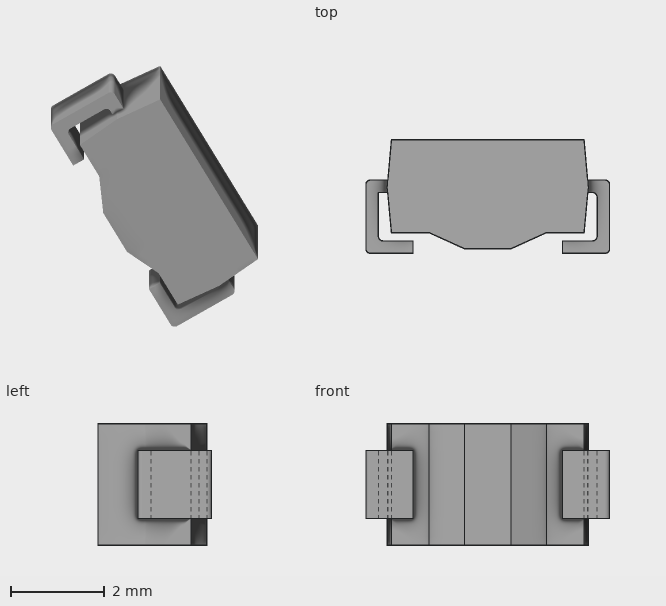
import cadquery as cq

total_length = 5.21
total_depth = 2.43
body_height = 2.6

body_half_length = 2.15
end_taper = 0.09
body_depth = 1.99
ridge_setback = 1.02
bump_height = 0.34
bump_base_half = 1.25
bump_tip_half = 0.5

lead_thickness = 0.27
lead_depth = 1.57
lead_width = 1.46
foot_length = 1.01
bend_radius = 0.1
lead_embed = 0.2

lead_front = body_depth - total_depth
lead_back = lead_front + lead_depth
lead_outer = total_length / 2
lead_inner = lead_outer - lead_thickness


def make_body():
    """Prism with tapered ends and a trapezoidal bump on the front."""
    corner_x = body_half_length - end_taper
    ridge_y = body_depth - ridge_setback
    right_half = [
        (bump_tip_half, -bump_height),
        (bump_base_half, 0),
        (corner_x, 0),
        (body_half_length, ridge_y),
        (corner_x, body_depth),
    ]
    left_half = [(-x, y) for x, y in reversed(right_half)]
    outline = cq.Workplane("XY").polyline(right_half + left_half).close()
    return outline.extrude(body_height / 2, both=True)


def round_edge(solid, x, y):
    """Round the Z-parallel edge that passes through (x, y)."""
    edge = cq.selectors.NearestToPointSelector((x, y, 0))
    return solid.edges("|Z").edges(edge).fillet(bend_radius)


def make_lead(side, round_arm_inside):
    """C-shaped lead on the end given by side: +1 for +X, -1 for -X."""
    arm_end = body_half_length - lead_embed
    foot_end = lead_outer - foot_length
    arm_inside = lead_back - lead_thickness
    foot_inside = lead_front + lead_thickness
    outline = [
        (arm_end, lead_back),
        (lead_outer, lead_back),
        (lead_outer, lead_front),
        (foot_end, lead_front),
        (foot_end, foot_inside),
        (lead_inner, foot_inside),
        (lead_inner, arm_inside),
        (arm_end, arm_inside),
    ]
    points = [(side * x, y) for x, y in outline]
    lead = cq.Workplane("XY").polyline(points).close().extrude(lead_width / 2, both=True)

    bends = [(lead_outer, lead_back), (lead_outer, lead_front), (lead_inner, foot_inside)]
    if round_arm_inside:
        bends.append((lead_inner, arm_inside))
    for x, y in bends:
        lead = round_edge(lead, side * x, y)
    return lead


left_lead = make_lead(-1, round_arm_inside=False)
right_lead = make_lead(1, round_arm_inside=True)
result = make_body().union(left_lead).union(right_lead)